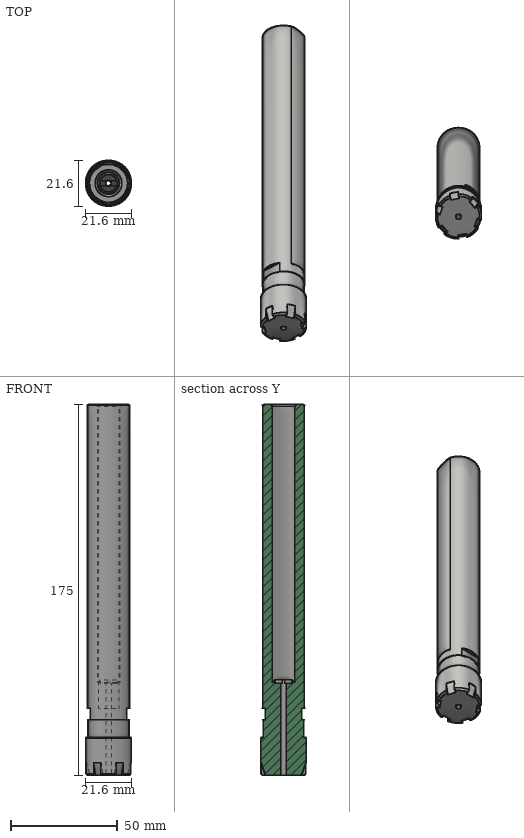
import cadquery as cq

total_length = 175.0

nut_radius = 10.8
nut_height = 17.9
nut_top_chamfer = 0.3
nut_bottom_chamfer = 0.9
nut_slot_count = 6
nut_slot_width = 4.0
nut_slot_height = 6.0
nut_slot_top_depth = 0.2
nut_slot_bottom_depth = 2.2

neck_radius = 9.75
neck_top_z = 26.3

shank_radius = 10.0
shank_chamfer_width = 1.0
shank_chamfer_height = 0.6
clamp_flat_y = 8.8
wrench_flat_height = 5.3
wrench_flat_spacing = 17.4
flats_top_z = neck_top_z + wrench_flat_height

bore_radius = 5.2
bore_mouth_radius = 6.3
bore_mouth_depth = bore_mouth_radius - bore_radius
screw_top_z = 45.0
screw_face_radius = 4.1
screw_chamfer = bore_radius - screw_face_radius
screw_slot_width = 2.3
screw_slot_depth = 1.5
through_hole_radius = 1.25


def make_body():
    """Revolve the stepped outside profile of nut, neck and shank."""
    profile = [
        (0, 0),
        (nut_radius - nut_bottom_chamfer, 0),
        (nut_radius, nut_bottom_chamfer),
        (nut_radius, nut_height - nut_top_chamfer),
        (nut_radius - nut_top_chamfer, nut_height),
        (neck_radius, nut_height),
        (neck_radius, neck_top_z),
        (shank_radius, neck_top_z),
        (shank_radius, total_length - shank_chamfer_height),
        (shank_radius - shank_chamfer_width, total_length),
        (0, total_length),
    ]
    return cq.Workplane("XZ").polyline(profile).close().revolve(360, (0, 0), (0, 1))


def make_bore():
    """Return the bore volume, shaped around the chamfered top of the screw."""
    profile = [
        (0, screw_top_z),
        (screw_face_radius, screw_top_z),
        (bore_radius, screw_top_z - screw_chamfer),
        (bore_radius, total_length - bore_mouth_depth),
        (bore_mouth_radius, total_length),
        (0, total_length),
    ]
    return cq.Workplane("XZ").polyline(profile).close().revolve(360, (0, 0), (0, 1))


def make_screw_slot():
    """Return the driver slot across the screw, ending at the edge of its face."""
    floor = cq.Workplane("XY").workplane(offset=screw_top_z - screw_slot_depth)
    slot = floor.rect(2 * shank_radius, screw_slot_width).extrude(screw_slot_depth)
    return slot.intersect(floor.circle(screw_face_radius).extrude(screw_slot_depth))


def make_through_hole():
    """Return the centre hole that runs the full length."""
    return cq.Workplane("XY").circle(through_hole_radius).extrude(total_length)


def make_clamp_flat():
    """Return the material removed for the long flat on the +Y side of the shank."""
    return cq.Workplane("XY").box(
        2 * shank_radius, shank_radius, total_length - flats_top_z, centered=(True, False, False)
    ).translate((0, clamp_flat_y, flats_top_z))


def make_wrench_flat(side):
    """Return the material removed for one wrench flat; side is -1 or +1 along X."""
    center_x = side * (wrench_flat_spacing + shank_radius) / 2
    return cq.Workplane("XY").box(
        shank_radius, 2 * shank_radius, wrench_flat_height, centered=(True, True, False)
    ).translate((center_x, 0, neck_top_z))


def make_nut_slot(angle):
    """Return one wrench slot in the lower rim of the nut; its floor slopes inward toward the bottom."""
    section = [
        (nut_radius - nut_slot_bottom_depth, 0),
        (nut_radius - nut_slot_top_depth, nut_slot_height),
        (2 * nut_radius, nut_slot_height),
        (2 * nut_radius, 0),
    ]
    slot = cq.Workplane("XZ").polyline(section).close().extrude(nut_slot_width / 2, both=True)
    return slot.rotate((0, 0, 0), (0, 0, 1), angle)


result = make_body()
result = result.cut(make_bore())
result = result.cut(make_screw_slot())
result = result.cut(make_through_hole())
result = result.cut(make_clamp_flat())
for side in (-1, 1):
    result = result.cut(make_wrench_flat(side))
for index in range(nut_slot_count):
    result = result.cut(make_nut_slot(index * 360 / nut_slot_count))